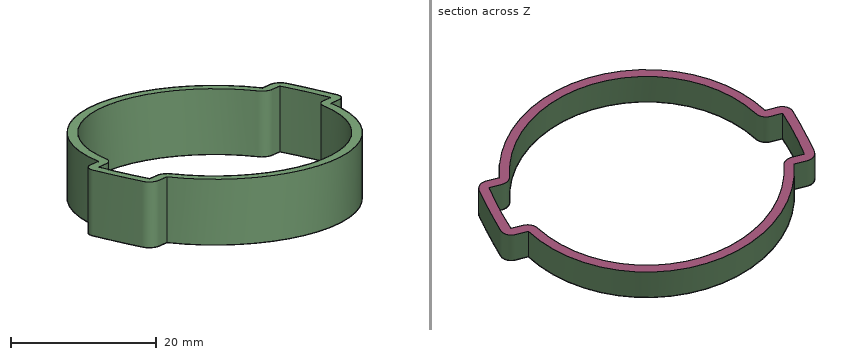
import cadquery as cq

height = 9.5
wall = 1.45
ring_outer_radius = 20.25
ring_inner_radius = ring_outer_radius - wall

ear_outer_reach = 23.0
ear_inner_reach = ear_outer_reach - wall
ear_outer_width = 11.5
ear_inner_width = ear_outer_width - 2 * wall
ear_corner_radius = 1.6
shoulder_radius = 1.75
roof_crown = 0.15


def cylinder(radius):
    return cq.Workplane("XY").circle(radius).extrude(height)


def ear_block(width, reach):
    """Block through both ears, its two end faces crowned outward to the full reach."""
    half_width = width / 2
    edge_reach = reach - roof_crown
    return (
        cq.Workplane("XY")
        .moveTo(-half_width, -edge_reach)
        .threePointArc((0, -reach), (half_width, -edge_reach))
        .lineTo(half_width, edge_reach)
        .threePointArc((0, reach), (-half_width, edge_reach))
        .close()
        .extrude(height)
    )


def outer_body():
    """Band outline: the outer corners of the ears are rounded, the valleys stay sharp."""
    ears = ear_block(ear_outer_width, ear_outer_reach)
    return cylinder(ring_outer_radius).union(ears.edges("|Z").fillet(ear_corner_radius))


def inner_void():
    """Bore and ear hollows: the shoulders are rounded, the ear corners stay sharp."""
    shoulder_box = cq.selectors.BoxSelector(
        (-ear_inner_width, -ring_inner_radius, -height),
        (ear_inner_width, ring_inner_radius, 2 * height),
    )
    void = cylinder(ring_inner_radius).union(ear_block(ear_inner_width, ear_inner_reach))
    return void.edges("|Z").edges(shoulder_box).fillet(shoulder_radius)


result = outer_body().cut(inner_void())